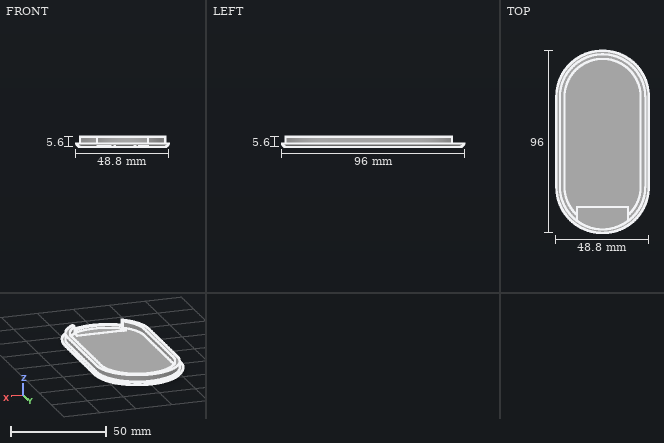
import cadquery as cq

length = 96.05
width = 48.8
height = 5.6

base_thickness = 2.0
edge_inset = 1.9
edge_bulge = 0.3
rim_inset = 1.9
wall_thickness = 2.4

notch_width = 27.0
notch_start_y = -34.3
notch_floor_z = 0.6


def stadium(inset, bottom_z, top_z):
    """Solid stadium, inset from the overall outline, between two heights."""
    return (
        cq.Workplane("XY", origin=(0, 0, bottom_z))
        .slot2D(length - 2 * inset, width - 2 * inset, 90)
        .extrude(top_z - bottom_z)
    )


def base_profile():
    """Half cross-section of the plate in XZ, its side a shallow convex arc."""
    half_width = width / 2
    return (
        cq.Workplane("XZ")
        .lineTo(half_width - edge_inset, 0)
        .sagittaArc((half_width, base_thickness), -edge_bulge)
        .lineTo(0, base_thickness)
        .close()
    )


def make_base():
    """Stadium plate: a straight middle between two rounded ends."""
    end_center_y = (length - width) / 2
    half_middle = base_profile().extrude(end_center_y, both=True)
    base = half_middle.union(half_middle.mirror("YZ"))
    round_end = base_profile().revolve(360, (0, 0), (0, 1))
    for y in (-end_center_y, end_center_y):
        base = base.union(round_end.translate((0, y, 0)))
    return base.clean()


def make_wall():
    """Upright wall standing on the plate, set in from its edge."""
    outer = stadium(rim_inset, base_thickness, height)
    inner = stadium(rim_inset + wall_thickness, base_thickness, height)
    return outer.cut(inner)


def make_notch():
    """Rectangular cut bounded at its far end by the wall's outer outline."""
    notch_length = length / 2 + notch_start_y
    block = cq.Workplane("XY", origin=(0, -length / 2, notch_floor_z)).box(
        notch_width, notch_length, height - notch_floor_z, centered=(True, False, False)
    )
    return block.intersect(stadium(rim_inset, notch_floor_z, height))


result = make_base().union(make_wall()).cut(make_notch())